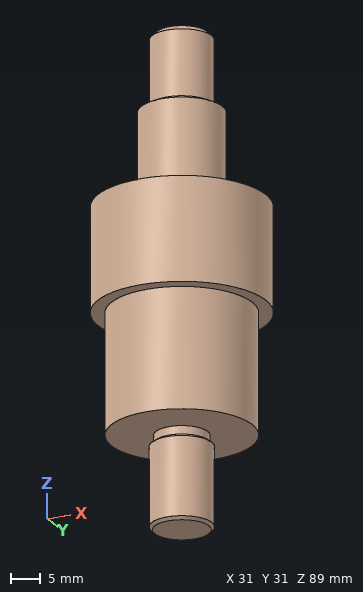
import cadquery as cq

journal_diameter = 11.0
shoulder_diameter = 15.0
collar_diameter = 31.0
body_diameter = 26.0
neck_diameter = 9.5

total_length = 89.0
body_bottom = 17.0
collar_bottom = 39.0
collar_top = 58.0
journal_start = 76.0

top_chamfer = 1.0
bottom_chamfer = 0.5
shoulder_cone_height = 1.0
neck_length = 1.5
neck_cone_height = 0.5


def cylinder(diameter, bottom, top):
    """Cylinder on the Z axis between two heights."""
    return cq.Workplane("XY").workplane(offset=bottom).circle(diameter / 2).extrude(top - bottom)


def cone(bottom_diameter, top_diameter, bottom, top):
    """Truncated cone on the Z axis between two heights."""
    return cq.Workplane("XY").add(
        cq.Solid.makeCone(bottom_diameter / 2, top_diameter / 2, top - bottom, cq.Vector(0, 0, bottom))
    )


neck_bottom = body_bottom - neck_length
lower_journal_top = neck_bottom - neck_cone_height
lower_journal = cylinder(journal_diameter, 0, lower_journal_top).faces("<Z").chamfer(bottom_chamfer)
neck_cone = cone(journal_diameter, neck_diameter, lower_journal_top, neck_bottom)
neck = cylinder(neck_diameter, neck_bottom, body_bottom)

body = cylinder(body_diameter, body_bottom, collar_bottom)
collar = cylinder(collar_diameter, collar_bottom, collar_top)

shoulder_top = journal_start - shoulder_cone_height
shoulder = cylinder(shoulder_diameter, collar_top, shoulder_top)
shoulder_cone = cone(shoulder_diameter, journal_diameter, shoulder_top, journal_start)
upper_journal = cylinder(journal_diameter, journal_start, total_length).faces(">Z").chamfer(top_chamfer)

result = lower_journal
for section in (neck_cone, neck, body, collar, shoulder, shoulder_cone, upper_journal):
    result = result.union(section)